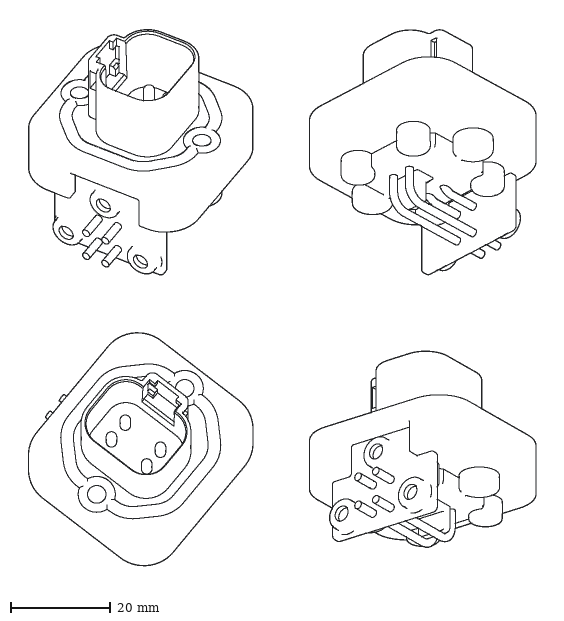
import cadquery as cq


overall_height = 39.5

flange_x = 38.35
flange_y = 35.3
flange_thick = 11.57
flange_corner = 7.62
edge_round = 0.47

overlap = 0.4

bead_height = 0.67
bead_round = 0.8
bead_x = 30.75
bead_y = 29.55
bead_width = 2.55
bead_corner_cut = 7.5
bead_corner_round = 7.6

fastener_x = 14.22
ring_outer = 3.75
ring_inner = 1.85
ring_round = 0.75
boss_radius = 4.05
block_bottom = -14.75
block_x = 20.55
block_y = 20.55
block_corner_cut = 3.4

foot_x = 7.82
foot_y = 10.65
foot_radius = 3.4
foot_bottom = -15.8

connector_x = 1.55
shell_x = 16.75
shell_y = 20.85
shell_corner = 5.65
shell_top = 14.65
shell_left = connector_x - shell_x / 2

key_left = -9.88
key_y = 10.35
key_corner = 1.55
key_root_round = 0.35

rim_wall = 0.8
mouth_wall = 1.03
floor_wall = 1.42
mouth_depth = 0.6
cavity_floor = 0.0

pocket_left = -7.98
pocket_y = 8.18
groove_left = -8.85
groove_y = 5.4
pocket_floor = 5.53
pocket_slope_start = -6.15
pocket_slope_end = shell_left + floor_wall
pocket_slope_drop = pocket_slope_end - pocket_slope_start
window_right = -7.4
window_bottom = 7.9
window_top = 12.55

pin_pitch_x = 4.45
pin_row_y = 4.55
contact_radius = 1.05
contact_round = 0.178
contact_top = 3.95
lead_radius = 0.83
lead_bend = 3.3
lead_start = -11.05
lead_end_y = -20.95
lead_levels = {pin_row_y: -21.8, -pin_row_y: -15.52}

rib_y_front = 0.4
rib_y_back = 3.2
rib_bottom = -20.9
rib_width = 6.32
rib_corner = 1.78
rib_flare = 2.0
rib_edge_round = 0.45

plate_back = -13.9
plate_front = -15.8
plate_width = 25.5
plate_bottom = shell_top - overall_height
plate_shoulder = -11.75
tab_width = 15.95
tab_top = -4.85
plate_low_corner = 1.1
plate_corner = 0.65
plate_edge_round = 0.55
slot_top = -4.45
slot_edge_round = 0.47
slot_corner = 0.3

mouth_band = 0.05

standoff_pitch_x = 17.3
standoff_top_z = -9.35
standoff_low_z = -20.78
standoff_radius = 3.28
standoff_base_radius = 3.8
standoff_hole_radius = 1.6
standoff_hole_depth = 1.2
standoff_face = -17.85
standoff_round = 0.47


def slab(bottom, top, size_x, size_y, center_x=0.0):
    """Rectangular block between two heights."""
    return (
        cq.Workplane("XY", origin=(center_x, 0, bottom))
        .rect(size_x, size_y)
        .extrude(top - bottom)
    )


def post(x, y, radius, bottom, top):
    """Upright cylinder between two heights."""
    return cq.Workplane("XY", origin=(x, y, bottom)).circle(radius).extrude(top - bottom)


def make_flange():
    flange = slab(-flange_thick, 0, flange_x, flange_y).edges("|Z").fillet(flange_corner)
    return flange.faces("<Z or >Z").edges().fillet(edge_round)


def make_bead():
    octagon = slab(-overlap, bead_height, bead_x, bead_y)
    octagon = octagon.edges("|Z").chamfer(bead_corner_cut).edges("|Z").fillet(bead_corner_round)
    inside = octagon.faces("<Z").wires().toPending().offset2D(-bead_width)
    bead = octagon.cut(inside.extrude(bead_height + overlap, combine=False))
    bead = bead.faces(">Z").edges().fillet(bead_round)
    for x in (-fastener_x, fastener_x):
        ring_middle = (ring_outer + ring_inner) / 2
        bead = bead.cut(post(x, 0, ring_middle, -overlap, bead_height))
    return bead


def make_rings():
    rings = cq.Workplane("XY", origin=(0, 0, -overlap))
    rings = rings.pushPoints([(-fastener_x, 0), (fastener_x, 0)])
    rings = rings.circle(ring_outer).circle(ring_inner).extrude(bead_height + overlap)
    return rings.faces(">Z").edges().fillet(ring_round)


def make_underside():
    block = slab(block_bottom, -overlap, block_x, block_y).edges("|Z").chamfer(block_corner_cut)
    for x in (-fastener_x, fastener_x):
        block = block.union(post(x, 0, boss_radius, block_bottom, -overlap))
    block = block.faces("<Z").edges().fillet(edge_round)
    for x in (-foot_x, foot_x):
        for y in (-foot_y, foot_y):
            foot = post(x, y, foot_radius, foot_bottom, -overlap)
            block = block.union(foot.faces("<Z").edges().fillet(edge_round))
    return block


def shell_section(wall, bottom, top):
    """Rounded-rectangle prism, inset from the shell outside by a wall."""
    section = slab(bottom, top, shell_x - 2 * wall, shell_y - 2 * wall, connector_x)
    return section.edges("|Z").fillet(shell_corner - wall)


def cavity_stage(upper_wall, lower_wall, top, bottom):
    """Tapered plug from a wide upper outline down to a narrower lower one."""
    upper = shell_section(upper_wall, top, top + overlap).faces("<Z").wires().val()
    lower = shell_section(lower_wall, bottom - overlap, bottom).faces(">Z").wires().val()
    return cq.Workplane(obj=cq.Solid.makeLoft([upper, lower], True))


def make_shell():
    body = shell_section(0, -overlap, shell_top)
    key_right = connector_x
    key = slab(-overlap, shell_top, key_right - key_left, key_y, (key_left + key_right) / 2)
    key = key.edges("|Z and <X").fillet(key_corner)
    shell = body.union(key)
    key_roots = cq.selectors.BoxSelector(
        (shell_left - overlap, -key_y / 2 - overlap, -overlap),
        (shell_left + overlap, key_y / 2 + overlap, shell_top),
    )
    shell = shell.edges("|Z").edges(key_roots).fillet(key_root_round)
    return shell.faces(">Z").edges().fillet(edge_round)


def make_cavity():
    mouth_bottom = shell_top - mouth_depth
    cavity = cavity_stage(rim_wall, mouth_wall, shell_top, mouth_bottom)
    return cavity.union(cavity_stage(mouth_wall, floor_wall, mouth_bottom, cavity_floor))


def make_key_pocket():
    slope_bottom = pocket_floor - pocket_slope_drop
    sill_drop = window_right - pocket_left
    side_profile = [
        (pocket_left, shell_top),
        (pocket_left, window_bottom),
        (window_right, window_bottom - sill_drop),
        (window_right, pocket_floor),
        (pocket_slope_start, pocket_floor),
        (pocket_slope_end, slope_bottom),
        (pocket_slope_end, shell_top),
    ]
    pocket = cq.Workplane("XZ").polyline(side_profile).close().extrude(pocket_y / 2, both=True)
    groove_length = pocket_slope_start - groove_left
    groove_center = (groove_left + pocket_slope_start) / 2
    groove = slab(pocket_floor, shell_top, groove_length, groove_y, groove_center)
    window_length = window_right - groove_left
    window_center = (groove_left + window_right) / 2
    window = slab(window_bottom, window_top, window_length, 2 * key_y, window_center)
    return pocket.union(groove).union(window)


def make_pin(x, y):
    contact = post(x, y, contact_radius, cavity_floor - overlap, contact_top)
    contact = contact.faces(">Z").edges().fillet(contact_round)
    level = lead_levels[y]
    path = (
        cq.Workplane("YZ", origin=(x, 0, 0))
        .moveTo(y, lead_start)
        .lineTo(y, level + lead_bend)
        .radiusArc((y - lead_bend, level), lead_bend)
        .lineTo(lead_end_y, level)
    )
    lead = cq.Workplane("XY", origin=(x, y, lead_start)).circle(lead_radius).sweep(path)
    return contact.union(lead)


def make_rib():
    flare_z = block_bottom - rib_flare
    profile = [
        (rib_y_back, -flange_thick),
        (rib_y_back, rib_bottom),
        (rib_y_front, rib_bottom),
        (rib_y_front, flare_z),
        (rib_y_front - rib_flare, block_bottom),
        (rib_y_front - rib_flare, -flange_thick),
    ]
    rib = cq.Workplane("YZ", origin=(connector_x, 0, 0)).polyline(profile).close()
    rib = rib.extrude(rib_width / 2, both=True)
    rib = rib.edges("|X and <Z and >Y").fillet(rib_corner)
    return rib.faces("<X or >X").edges().fillet(rib_edge_round)


def make_plate():
    middle_z = (plate_shoulder + plate_bottom) / 2
    thick = plate_back - plate_front
    base = cq.Workplane("XZ", origin=(connector_x, plate_back, middle_z))
    base = base.rect(plate_width, plate_shoulder - plate_bottom).extrude(thick)
    tab_height = tab_top - middle_z
    tab = cq.Workplane("XZ", origin=(connector_x, plate_back, middle_z + tab_height / 2))
    plate = base.union(tab.rect(tab_width, tab_height).extrude(thick))
    plate = plate.edges("|Y").edges("not <Z").fillet(plate_corner)
    plate = plate.edges("|Y").edges("<Z").fillet(plate_low_corner)
    return plate.faces("<Y or >Y").edges().fillet(plate_edge_round)


def make_standoff(x, z):
    base_round = standoff_base_radius - standoff_radius
    root = (plate_back + plate_front) / 2
    hole_bottom = standoff_face + standoff_hole_depth
    standoff = (
        cq.Workplane("XY", origin=(x, 0, z))
        .moveTo(0, root)
        .lineTo(standoff_base_radius, root)
        .lineTo(standoff_base_radius, plate_front)
        .radiusArc((standoff_radius, plate_front - base_round), -base_round)
        .lineTo(standoff_radius, standoff_face + standoff_round)
        .radiusArc((standoff_radius - standoff_round, standoff_face), standoff_round)
        .lineTo(standoff_hole_radius, standoff_face)
        .lineTo(standoff_hole_radius, hole_bottom)
        .lineTo(0, hole_bottom)
        .close()
    )
    return standoff.revolve(360, (0, 0, 0), (0, 1, 0))


def cut_slot(body):
    """Open a slot with a sloping ceiling in the -Y face for the bracket tab."""
    face_y = -flange_y / 2
    profile = [
        (face_y, -flange_thick),
        (face_y, slot_top),
        (plate_back, tab_top),
        (plate_back, -flange_thick),
    ]
    slot = cq.Workplane("YZ", origin=(connector_x, 0, 0)).polyline(profile).close()
    slot = slot.extrude(tab_width / 2, both=True)
    slot = slot.faces(">Z").edges("not |X").fillet(slot_corner)
    body = body.cut(slot)
    mouth_reach = tab_width / 2 + overlap
    mouth = cq.selectors.BoxSelector(
        (connector_x - mouth_reach, face_y - mouth_band, -flange_thick),
        (connector_x + mouth_reach, face_y + mouth_band, slot_top + overlap),
    )
    return body.edges(mouth).fillet(slot_edge_round)


body = cut_slot(make_flange())
body = body.union(make_bead()).union(make_rings()).union(make_underside())
body = body.union(make_shell()).cut(make_cavity()).cut(make_key_pocket())
body = body.union(make_rib()).union(make_plate())

for pin_x in (connector_x - pin_pitch_x / 2, connector_x + pin_pitch_x / 2):
    for pin_y in (-pin_row_y, pin_row_y):
        body = body.union(make_pin(pin_x, pin_y))

body = body.union(make_standoff(connector_x, standoff_top_z))
for standoff_x in (connector_x - standoff_pitch_x / 2, connector_x + standoff_pitch_x / 2):
    body = body.union(make_standoff(standoff_x, standoff_low_z))

result = body